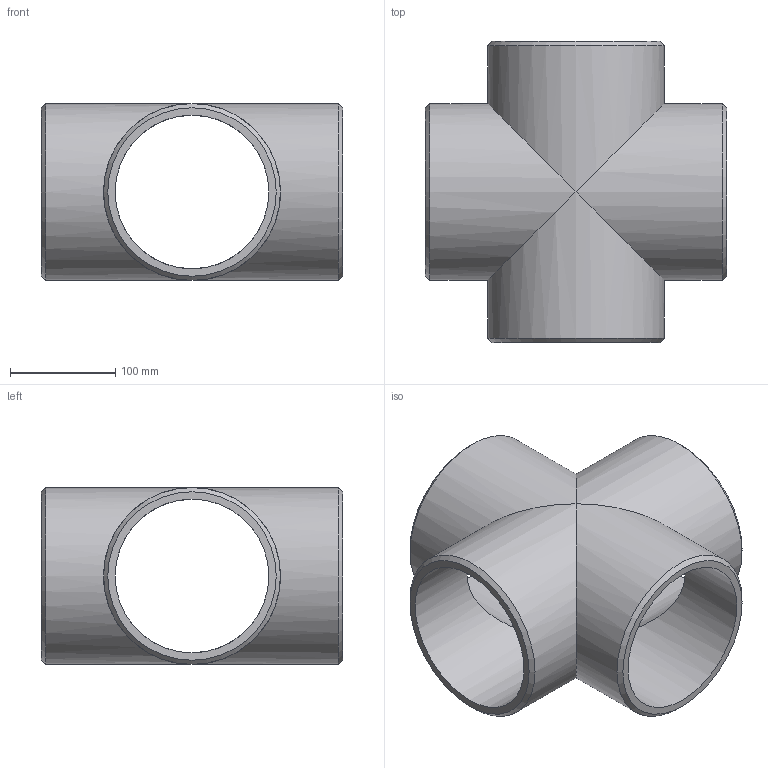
import cadquery as cq

length = 286.0
outer_diameter = 168.0
wall = 11.0
end_chamfer = 4.0

bore_diameter = outer_diameter - 2 * wall


def centred_cylinder(plane_name, diameter):
    """Solid cylinder centred on the origin, along the normal of the given plane."""
    return cq.Workplane(plane_name).circle(diameter / 2).extrude(length / 2, both=True)


def outer_run(plane_name):
    """Outside of one straight run, with both end rims chamfered."""
    axis_direction = {"YZ": "X", "XZ": "Y"}[plane_name]
    run = centred_cylinder(plane_name, outer_diameter)
    return run.faces("|" + axis_direction).edges().chamfer(end_chamfer)


run_planes = ("YZ", "XZ")

result = outer_run(run_planes[0]).union(outer_run(run_planes[1]))
for run_plane in run_planes:
    result = result.cut(centred_cylinder(run_plane, bore_diameter))